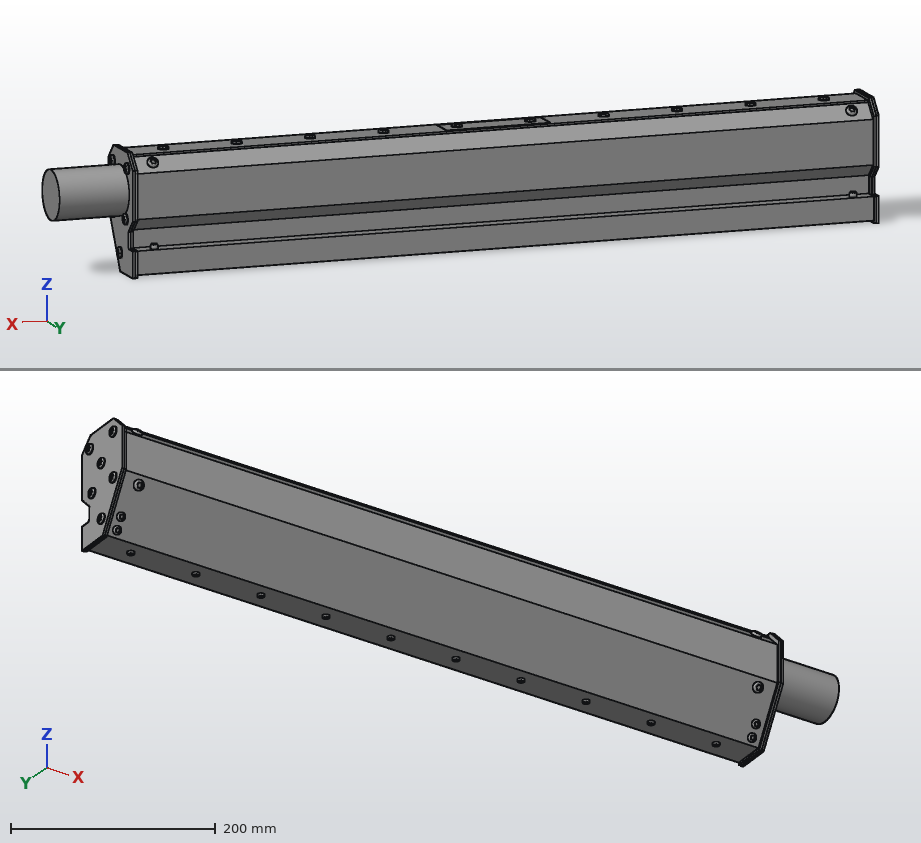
import cadquery as cq
import math

TOTAL_LENGTH = 849.74
CAP_WIDTH = 71.12
CAP_HEIGHT = 122.73
HOUSING_LENGTH = 774.7
PLATE_THICKNESS = 2.54
GASKET_THICKNESS = 2.54
GASKET_INSET = 0.3
INSET = 3.0
TUBE_DIAMETER = 50.8
AXIS_DEPTH = 41.1

CHAMFER = 15.24
HOUSING_CHAMFER = 17.9
SLOPE_START_DEPTH = 63.0
SLOPE_ANGLE = 60.0
NOTCH_START_DEPTH = 66.0
NOTCH_DEPTH = 12.7
LEDGE_DEPTH = 95.6
LEDGE_RADIUS = 2.5

STRIP_WIDTH = 35.2
STRIP_THICKNESS = 2.0
ACCESS_LENGTH = 107.7
ACCESS_WIDTH = 28.2
ACCESS_THICKNESS = 0.4

END_HEAD = (11.0, 2.75)
TOP_HEAD = (10.5, 2.55)
CORNER_HEAD = (11.0, 3.3)
TAB_HEAD = (9.0, 2.4)
BOTTOM_HEAD = (7.6, 2.2)
LEDGE_HEAD = (7.6, 5.0)
SOCKET_RATIO = 0.55
SOCKET_DEPTH_RATIO = 0.6
CROWN_RATIO = 0.6
RIM_RATIO = 0.35
SHOULDER_BULGE = 0.08
SEAT = 0.5

ROW_COUNT = 10
ROW_PITCH = 76.2
ACCESS_SCREWS = (4, 5)
CORNER_SETBACK = 24.6
TAB_SETBACK = 15.4
END_UPPER = (20.8, 15.6)
END_LOWER_FRONT = (-20.8, 67.0)
END_LOWER_REAR = (16.6, 67.0)
END_FOOT = (0.0, 103.5)
SLOPE_SCREW_DEPTH = 70.9
TAB_SCREW_DEPTHS = (101.0, 113.0)
LEDGE_SCREW_Y = 29.2
BOTTOM_ROW_Y = 16.0

cap_thickness = PLATE_THICKNESS + GASKET_THICKNESS
half_length = HOUSING_LENGTH / 2
half_width = CAP_WIDTH / 2
top_z = AXIS_DEPTH
bottom_z = top_z - CAP_HEIGHT
notch_y = half_width - NOTCH_DEPTH
slope_tan = math.tan(math.radians(SLOPE_ANGLE))
body_top = top_z - INSET - STRIP_THICKNESS
strip_top = body_top + STRIP_THICKNESS
tube_end = TOTAL_LENGTH - half_length - END_HEAD[1]


def outline(chamfer):
    """Cap outline on the YZ plane, with two upper corners cut by a chamfer."""
    toe_y = -half_width + (CAP_HEIGHT - SLOPE_START_DEPTH) / slope_tan
    points = [
        (half_width - chamfer, top_z),
        (half_width, top_z - chamfer),
        (half_width, top_z - NOTCH_START_DEPTH),
        (notch_y, top_z - NOTCH_START_DEPTH - NOTCH_DEPTH),
        (notch_y, top_z - LEDGE_DEPTH),
        (half_width, top_z - LEDGE_DEPTH),
        (half_width, bottom_z),
        (toe_y, bottom_z),
        (-half_width, top_z - SLOPE_START_DEPTH),
        (-half_width, top_z - chamfer),
        (-half_width + chamfer, top_z),
    ]
    return cq.Workplane("YZ").polyline(points).close()


def caps():
    """Mirrored end caps, each a plate over a slightly smaller gasket."""
    plate = outline(CHAMFER).extrude(PLATE_THICKNESS)
    margin = 1.0
    corner_z = top_z - LEDGE_DEPTH
    inner_corner = cq.selectors.BoxSelector(
        (-margin, notch_y - margin, corner_z - margin),
        (PLATE_THICKNESS + margin, notch_y + margin, corner_z + margin),
    )
    plate = plate.edges(inner_corner).edges("|X").fillet(LEDGE_RADIUS)
    gasket = outline(CHAMFER).offset2D(-GASKET_INSET, "intersection").extrude(GASKET_THICKNESS)
    left = plate.union(gasket.translate((PLATE_THICKNESS, 0, 0))).translate((-half_length, 0, 0))
    return left.union(left.mirror("YZ"))


def housing():
    """Main body between the caps, with its rear ledge and the cover strip on top."""
    length = HOUSING_LENGTH - 2 * cap_thickness
    inner = outline(HOUSING_CHAMFER).offset2D(-INSET, "intersection").extrude(length)
    crop = cq.Workplane("XY").box(length, CAP_WIDTH, CAP_HEIGHT, centered=(False, True, False))
    inner = inner.intersect(crop.translate((0, 0, body_top - CAP_HEIGHT)))
    ledge_height = CAP_HEIGHT - LEDGE_DEPTH - INSET
    ledge = cq.Workplane("XY").box(
        length, half_width - notch_y + INSET, ledge_height, centered=(False, False, False)
    )
    ledge = ledge.translate((0, notch_y - INSET, bottom_z + INSET))
    strip_height = STRIP_THICKNESS + SEAT
    strip = cq.Workplane("XY").box(length, STRIP_WIDTH, strip_height, centered=(False, True, False))
    strip = strip.translate((0, 0, body_top - SEAT))
    return inner.union(ledge).union(strip).translate((-length / 2, 0, 0))


def access_plate():
    """Thin plate at the middle of the cover strip."""
    height = ACCESS_THICKNESS + SEAT
    plate = cq.Workplane("XY").box(ACCESS_LENGTH, ACCESS_WIDTH, height, centered=(True, True, False))
    return plate.translate((0, 0, strip_top - SEAT))


def screw(head, point, normal):
    """Button head with a hexagon socket, seated at a point and facing along a normal."""
    diameter, height = head
    radius = diameter / 2
    crown = radius * CROWN_RATIO
    x_direction = (0, 1, 0) if normal[0] else (1, 0, 0)
    rim = height * RIM_RATIO
    shoulder = ((radius + crown) / 2 + SHOULDER_BULGE * radius, (rim + height) / 2 + SHOULDER_BULGE * height)
    dome = (
        cq.Workplane("XZ")
        .moveTo(0, -SEAT)
        .lineTo(radius, -SEAT)
        .lineTo(radius, rim)
        .threePointArc(shoulder, (crown, height))
        .lineTo(0, height)
        .close()
        .revolve(360, (0, 0, 0), (0, 1, 0))
    )
    socket_depth = height * SOCKET_DEPTH_RATIO
    socket = cq.Workplane("XY").polygon(6, diameter * SOCKET_RATIO).extrude(socket_depth)
    dome = dome.cut(socket.translate((0, 0, height - socket_depth)))
    plane = cq.Plane(origin=point, xDir=x_direction, normal=normal)
    return dome.val().located(cq.Location(plane))


def end_screws():
    """Screws that hold the caps; the left cap has one more on the tube axis."""
    places = [END_UPPER, (-END_UPPER[0], END_UPPER[1]), END_LOWER_FRONT, END_LOWER_REAR, END_FOOT]
    heads = [screw(END_HEAD, (-half_length, 0, 0), (-1, 0, 0))]
    for y, depth in places:
        for side in (-1, 1):
            heads.append(screw(END_HEAD, (side * half_length, y, top_z - depth), (side, 0, 0)))
    return heads


def row_screws():
    """Rows of screws along the top and the bottom."""
    heads = []
    for i in range(ROW_COUNT):
        x = (i - (ROW_COUNT - 1) / 2) * ROW_PITCH
        seat_z = strip_top + (ACCESS_THICKNESS if i in ACCESS_SCREWS else 0)
        heads.append(screw(TOP_HEAD, (x, 0, seat_z), (0, 0, 1)))
        heads.append(screw(BOTTOM_HEAD, (x, BOTTOM_ROW_Y, bottom_z + INSET), (0, 0, -1)))
    return heads


def slope_point(x, depth):
    """Point on the sloping face of the housing."""
    offset = INSET / math.sin(math.radians(SLOPE_ANGLE))
    return (x, -half_width + (depth - SLOPE_START_DEPTH) / slope_tan + offset, top_z - depth)


def side_screws():
    """Screws near the caps on the chamfers, the slope and the rear ledge."""
    diagonal = math.sqrt(0.5)
    slope_normal = (0, -math.sin(math.radians(SLOPE_ANGLE)), -math.cos(math.radians(SLOPE_ANGLE)))
    inset = INSET * diagonal
    chamfer_y = half_width - HOUSING_CHAMFER / 2 - inset
    chamfer_z = top_z - HOUSING_CHAMFER / 2 - inset
    ledge_z = top_z - LEDGE_DEPTH
    heads = []
    for side in (-1, 1):
        corner_x = side * (half_length - CORNER_SETBACK)
        tab_x = side * (half_length - TAB_SETBACK)
        for face in (-1, 1):
            point = (corner_x, face * chamfer_y, chamfer_z)
            heads.append(screw(CORNER_HEAD, point, (0, face * diagonal, diagonal)))
        heads.append(screw(CORNER_HEAD, slope_point(corner_x, SLOPE_SCREW_DEPTH), slope_normal))
        for depth in TAB_SCREW_DEPTHS:
            heads.append(screw(TAB_HEAD, slope_point(tab_x, depth), slope_normal))
        heads.append(screw(LEDGE_HEAD, (corner_x, LEDGE_SCREW_Y, ledge_z), (0, 0, 1)))
    return heads


def tube():
    """Round tube standing out of the right cap."""
    start = half_length - cap_thickness
    return cq.Workplane("YZ").circle(TUBE_DIAMETER / 2).extrude(tube_end - start).translate((start, 0, 0))


result = housing().union(caps()).union(access_plate()).union(tube())
for head in end_screws() + row_screws() + side_screws():
    result = result.union(cq.Workplane(head))